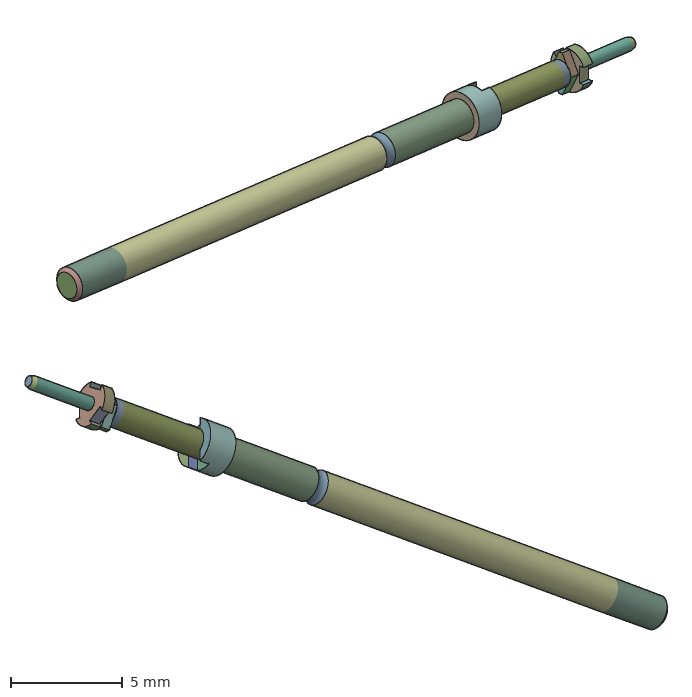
import cadquery as cq

total_length = 36.6
tail_taper_length = 3.05
groove_start = 19.87
groove_end = 20.42
collar_start = 25.5
collar_end = 26.97
plunger_taper_start = 31.6
head_start = 32.0
disc_start = 32.45
head_end = 33.05

pin_diameter = 0.65
plunger_diameter = 1.3
plunger_end_diameter = 1.28
tail_end_diameter = 1.6
barrel_diameter = 1.65
head_diameter = 2.12
collar_diameter = 2.3

tail_chamfer_length = 0.2
tail_chamfer_depth = 0.2
groove_depth = 0.1
tip_length = 0.25
tip_depth = 0.07

collar_slot_width = 0.8
collar_slot_length = 0.5
notch_count = 3
notch_width = 0.85
notch_floor_radius = 0.75

wedge_half_width = 0.65
wedge_tip_half_width = 0.1
wedge_half_height = 1.02

pin_radius = pin_diameter / 2
plunger_radius = plunger_diameter / 2
plunger_end_radius = plunger_end_diameter / 2
tail_radius = tail_end_diameter / 2
barrel_radius = barrel_diameter / 2
head_radius = head_diameter / 2
collar_radius = collar_diameter / 2


def plane_across(y):
    """Plane square to the probe at height y, with local x along X and local y along Z."""
    return cq.Workplane(cq.Plane(origin=(0, y, 0), xDir=(1, 0, 0), normal=(0, -1, 0)))


def cylinder(start, end, radius):
    return plane_across(end).circle(radius).extrude(end - start)


def make_shaft():
    """Turned shaft: tail, grooved barrel, collar, plunger and pin."""
    groove_middle = (groove_start + groove_end) / 2
    return (
        cq.Workplane("XY")
        .moveTo(0, 0)
        .lineTo(tail_radius - tail_chamfer_depth, 0)
        .lineTo(tail_radius, tail_chamfer_length)
        .lineTo(barrel_radius, tail_taper_length)
        .lineTo(barrel_radius, groove_start)
        .threePointArc((barrel_radius - groove_depth, groove_middle), (barrel_radius, groove_end))
        .lineTo(barrel_radius, collar_start)
        .lineTo(collar_radius, collar_start)
        .lineTo(collar_radius, collar_end)
        .lineTo(plunger_radius, collar_end)
        .lineTo(plunger_radius, plunger_taper_start)
        .lineTo(plunger_end_radius, head_start)
        .lineTo(pin_radius, head_start)
        .lineTo(pin_radius, total_length - tip_length)
        .lineTo(pin_radius - tip_depth, total_length)
        .lineTo(0, total_length)
        .close()
        .revolve(360, (0, 0, 0), (0, 1, 0))
    )


def make_collar_slots():
    """Slot across the collar along Z that leaves the plunger whole."""
    slot_start = collar_end - collar_slot_length
    slot = plane_across(collar_end).rect(collar_slot_width, 2 * collar_diameter).extrude(collar_slot_length)
    return slot.cut(cylinder(slot_start, collar_end, plunger_radius))


def make_disc():
    """Front disc of the head with evenly spaced square notches, the first one facing +X."""
    disc_length = head_end - disc_start
    notch = (
        plane_across(head_end)
        .center(notch_floor_radius + head_radius / 2, 0)
        .rect(head_radius, notch_width)
        .extrude(disc_length)
    )
    disc = cylinder(disc_start, head_end, head_radius)
    for index in range(notch_count):
        angle = index * 360 / notch_count
        disc = disc.cut(notch.rotate((0, 0, 0), (0, 1, 0), angle))
    return disc


def make_wedge():
    """Double wedge behind the disc: ridges at +X and -X, flat tips at +Z and -Z."""
    return (
        plane_across(disc_start)
        .moveTo(-wedge_half_width, 0)
        .lineTo(-wedge_tip_half_width, wedge_half_height)
        .lineTo(wedge_tip_half_width, wedge_half_height)
        .lineTo(wedge_half_width, 0)
        .lineTo(wedge_tip_half_width, -wedge_half_height)
        .lineTo(-wedge_tip_half_width, -wedge_half_height)
        .close()
        .extrude(disc_start - head_start)
    )


result = make_shaft().cut(make_collar_slots()).union(make_wedge()).union(make_disc())